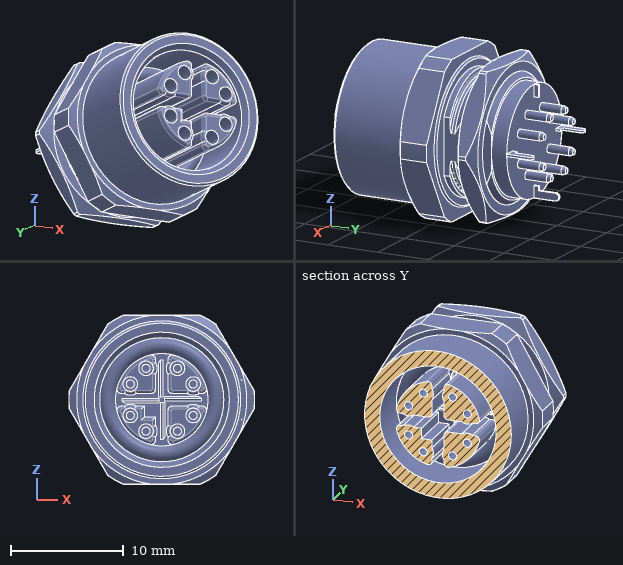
import cadquery as cq
import math


SHELL_FRONT = 1.5
SHELL_FLOOR = 8.6
FLANGE_FRONT = 8.5
FLANGE_BACK = 11.52
SEAT_BACK = 11.7
NECK_BACK = 12.32
RELIEF_BACK = 12.8
THREAD_FRONT = 13.84
NUT_FRONT = 13.98
NUT_BACK = 15.97
THREAD_BACK = 16.48
DISC_BACK = 18.0
PIN_END = 20.5

SHELL_DIA = 14.0
SHELL_CHAMFER = 0.2
BORE_DIA = 11.0
BORE_MOUTH_DIA = 12.0
BORE_CHAMFER_DEPTH = 0.5
SEAT_DIA = 13.55
SEAT_BACK_DIA = 13.2
NECK_DIA = 11.8
RELIEF_DIA = 10.8
RELIEF_FILLET = 0.16
THREAD_DIA = 12.0
THREAD_END_DIA = 11.0
DISC_DIA = 10.5

FLANGE_ACROSS_FLATS = 15.0
FLANGE_CORNER_DIA = 16.48
FLANGE_FACE_DIA = 15.09
NUT_ACROSS_FLATS = 14.0
NUT_CORNER_DIA = 16.0
NUT_FACE_DIA = 13.78
HEX_CHAMFER_ANGLE = 30.0
HEX_TURN = 30

INSERT_DIA = 8.2
INSERT_WALL = 0.55
INSERT_CORNER = 0.4
INSERT_FILLET = 0.29
KEY_NOTCH = 1.54
CONTACT_NEAR = 1.4
CONTACT_FAR = 2 * CONTACT_NEAR
BOSS_DIA = 1.97
SOCKET_DIA = 1.3
SOCKET_DEPTH = 4.1
CONTACT_BORE_DIA = 0.72
CONTACT_BORE_DEPTH = 1.65
QUARTER_TURNS = (0, 90, 180, 270)
KEYED_TURN = 180

RING_INNER_DIA = INSERT_DIA

RIDGE_START = 0.23
RIDGE_END = 3.53
RIDGE_LOW_SIDE = -0.1
RIDGE_CREST = 0.1
RIDGE_HIGH_SIDE = 0.3
RIDGE_HEIGHT = 0.16
RIDGE_END_SLOPE = 0.29

PIN_DIA = 0.8
PIN_TIP_LENGTH = 0.35
PIN_TIP_CHAMFER = 0.15
LEG_THICKNESS = 0.23
LEG_WIDTH = 0.74
LEG_FOOT_WIDTH = 1.15
LEG_FOOT_HEIGHT = 0.45
LEG_FOOT_FILLET = 0.1
LEG_TIP_LENGTH = 0.35
LEG_TURNS = (0, 90, 180)
FOOT_ONLY_TURN = 270


def revolved(profile):
    """Solid of revolution about Y from (radius, y) points."""
    return cq.Workplane("XY").polyline(profile).close().revolve(360, (0, 0, 0), (0, 1, 0))


def section(y):
    """Workplane across the axis at y; a negative extrusion goes to the rear."""
    return cq.Workplane("XZ", origin=(0, y, 0))


def cylinder(dia, start, end, x=0, z=0):
    return section(start).center(x, z).circle(dia / 2).extrude(start - end)


def turned(shape, angle):
    return shape.rotate((0, 0, 0), (0, 1, 0), angle)


def hexagon(across_flats, start, end):
    """Hexagonal prism along the axis with corners on the X axis."""
    blank = section(start).polygon(6, across_flats, circumscribed=True).extrude(start - end)
    return turned(blank, HEX_TURN)


def shell():
    outer = SHELL_DIA / 2
    mouth = BORE_MOUTH_DIA / 2
    bore = BORE_DIA / 2
    return revolved([
        (mouth, SHELL_FRONT), (outer - SHELL_CHAMFER, SHELL_FRONT),
        (outer, SHELL_FRONT + SHELL_CHAMFER), (outer, FLANGE_BACK), (0, FLANGE_BACK),
        (0, SHELL_FLOOR), (bore, SHELL_FLOOR), (bore, SHELL_FRONT + BORE_CHAMFER_DEPTH),
    ])


def hex_chamfer(corner_dia, face_dia):
    """Axial length of the cone that bevels hexagon corners."""
    return (corner_dia - face_dia) / 2 * math.tan(math.radians(HEX_CHAMFER_ANGLE))


def flange():
    corner = FLANGE_CORNER_DIA / 2
    face = FLANGE_FACE_DIA / 2
    bore = BORE_DIA / 2
    chamfer = hex_chamfer(FLANGE_CORNER_DIA, FLANGE_FACE_DIA)
    blank = revolved([
        (bore, FLANGE_FRONT), (face, FLANGE_FRONT), (corner, FLANGE_FRONT + chamfer),
        (corner, FLANGE_BACK), (bore, FLANGE_BACK),
    ])
    return blank.intersect(hexagon(FLANGE_ACROSS_FLATS, FLANGE_FRONT, FLANGE_BACK))


def nut():
    corner = NUT_CORNER_DIA / 2
    face = NUT_FACE_DIA / 2
    bore = THREAD_DIA / 2
    chamfer = hex_chamfer(NUT_CORNER_DIA, NUT_FACE_DIA)
    blank = revolved([
        (bore, NUT_FRONT), (face, NUT_FRONT), (corner, NUT_FRONT + chamfer),
        (corner, NUT_BACK - chamfer), (face, NUT_BACK), (bore, NUT_BACK),
    ])
    return blank.intersect(hexagon(NUT_ACROSS_FLATS, NUT_FRONT, NUT_BACK))


def threaded_stem():
    """Neck, relief and thread, with two flats level with the rear disc."""
    relief = RELIEF_DIA / 2
    thread = THREAD_DIA / 2
    thread_end = THREAD_END_DIA / 2
    fillet_run = RELIEF_FILLET * (1 - math.sqrt(0.5))
    stem = (
        cq.Workplane("XY")
        .moveTo(0, SEAT_BACK)
        .lineTo(NECK_DIA / 2, SEAT_BACK)
        .lineTo(NECK_DIA / 2, NECK_BACK)
        .lineTo(relief + RELIEF_FILLET, NECK_BACK)
        .threePointArc((relief + fillet_run, NECK_BACK + fillet_run), (relief, NECK_BACK + RELIEF_FILLET))
        .lineTo(relief, RELIEF_BACK)
        .lineTo(thread, THREAD_FRONT)
        .lineTo(thread, THREAD_BACK - (thread - thread_end))
        .lineTo(thread_end, THREAD_BACK)
        .lineTo(0, THREAD_BACK)
        .close()
        .revolve(360, (0, 0, 0), (0, 1, 0))
    )
    between_flats = section(SEAT_BACK).rect(DISC_DIA, 2 * THREAD_DIA).extrude(SEAT_BACK - THREAD_BACK)
    return stem.intersect(between_flats)


def sealing_seat():
    return revolved([
        (0, FLANGE_BACK), (SEAT_DIA / 2, FLANGE_BACK), (SEAT_BACK_DIA / 2, SEAT_BACK), (0, SEAT_BACK),
    ])


def sealing_ring():
    """Round bead filling the gap between the inserts and the bore, half sunk in the floor."""
    minor = (BORE_DIA - RING_INNER_DIA) / 4
    major = BORE_DIA / 2 - minor
    return (
        cq.Workplane("XY").center(major, SHELL_FLOOR).circle(minor)
        .revolve(360, (-major, 0, 0), (-major, 1, 0))
    )


def contact_insert(keyed):
    """Quarter-round insert in the +X +Z quadrant with two contact sockets."""
    size = INSERT_DIA / 2
    side = size - INSERT_WALL
    middle = INSERT_WALL + side / 2
    disc = cylinder(INSERT_DIA, 0, SHELL_FLOOR)
    insert = section(0).center(middle, middle).rect(side, side).extrude(-SHELL_FLOOR)
    insert = insert.intersect(disc).edges("|Y").fillet(INSERT_CORNER)
    if keyed:
        notch = section(0).rect(2 * KEY_NOTCH, 2 * KEY_NOTCH).extrude(-SHELL_FLOOR)
        insert = insert.cut(notch)
    insert = insert.faces("<Y").edges().fillet(INSERT_FILLET)

    boss_limit_dia = INSERT_DIA - 2 * (INSERT_FILLET + INSERT_CORNER)
    boss_limit = cylinder(boss_limit_dia, 0, SHELL_FLOOR)
    spots = ((CONTACT_NEAR, CONTACT_FAR), (CONTACT_FAR, CONTACT_NEAR))
    for x, z in spots:
        boss = cylinder(BOSS_DIA, 0, SHELL_FLOOR, x, z).faces("<Y").edges().fillet(INSERT_FILLET)
        insert = insert.union(boss.intersect(boss_limit))
    for x, z in spots:
        insert = insert.cut(cylinder(SOCKET_DIA, 0, SOCKET_DEPTH, x, z))
        insert = insert.cut(cylinder(CONTACT_BORE_DIA, SOCKET_DEPTH, SOCKET_DEPTH + CONTACT_BORE_DEPTH, x, z))
    return insert


def shield_ridge():
    """Gabled ridge on the floor along +X, its higher-Z slope cut back at the outer end."""
    crest = SHELL_FLOOR - RIDGE_HEIGHT
    ridge = (
        cq.Workplane("YZ", origin=(RIDGE_START, 0, 0))
        .polyline([(SHELL_FLOOR, RIDGE_LOW_SIDE), (crest, RIDGE_CREST), (SHELL_FLOOR, RIDGE_HIGH_SIDE)])
        .close()
        .extrude(RIDGE_END - RIDGE_START)
    )
    cut_back = (
        section(crest)
        .polyline([
            (RIDGE_END, RIDGE_CREST),
            (RIDGE_END, RIDGE_HIGH_SIDE),
            (RIDGE_END - RIDGE_END_SLOPE, RIDGE_HIGH_SIDE),
        ])
        .close()
        .extrude(-RIDGE_HEIGHT)
    )
    return ridge.cut(cut_back)


def solder_pin(x, z):
    pin = cylinder(PIN_DIA, DISC_BACK, PIN_END, x, z)
    return pin.faces(">Y").chamfer(PIN_TIP_LENGTH, PIN_TIP_CHAMFER)


def leg_plate(profile):
    """Thin plate in the XY plane from an outline, centred on z = 0."""
    return profile.close().extrude(LEG_THICKNESS / 2, both=True)


def leg_foot():
    outer = DISC_DIA / 2
    inner = outer - LEG_FOOT_WIDTH
    top = DISC_BACK + LEG_FOOT_HEIGHT
    return leg_plate(cq.Workplane("XY").polyline([
        (outer, DISC_BACK), (outer, top), (inner, top), (inner, DISC_BACK),
    ]))


def shield_leg():
    """Full-length leg on the +X side with a round tip and a foot."""
    outer = DISC_DIA / 2
    inner = outer - LEG_WIDTH
    middle = outer - LEG_WIDTH / 2
    shoulder = PIN_END - LEG_TIP_LENGTH
    foot_top = DISC_BACK + LEG_FOOT_HEIGHT
    blade = leg_plate(
        cq.Workplane("XY")
        .moveTo(outer, DISC_BACK)
        .lineTo(outer, shoulder)
        .threePointArc((middle, PIN_END), (inner, shoulder))
        .lineTo(inner, DISC_BACK)
    )
    bend = LEG_FOOT_FILLET * (1 - math.sqrt(0.5))
    fillet = leg_plate(
        cq.Workplane("XY")
        .moveTo(inner, foot_top)
        .lineTo(inner, foot_top + LEG_FOOT_FILLET)
        .threePointArc((inner - bend, foot_top + bend), (inner - LEG_FOOT_FILLET, foot_top))
    )
    return blade.union(leg_foot()).union(fillet)


body = shell().union(flange()).union(sealing_seat()).union(threaded_stem()).union(nut())
body = body.union(cylinder(DISC_DIA, THREAD_BACK, DISC_BACK)).union(sealing_ring())

for turn in QUARTER_TURNS:
    body = body.union(turned(contact_insert(turn == KEYED_TURN), turn))
    body = body.union(turned(shield_ridge(), turn))

for sign_x in (-1, 1):
    for sign_z in (-1, 1):
        body = body.union(solder_pin(sign_x * CONTACT_NEAR, sign_z * CONTACT_FAR))
        body = body.union(solder_pin(sign_x * CONTACT_FAR, sign_z * CONTACT_NEAR))

for turn in LEG_TURNS:
    body = body.union(turned(shield_leg(), turn))
body = body.union(turned(leg_foot(), FOOT_ONLY_TURN))

result = body